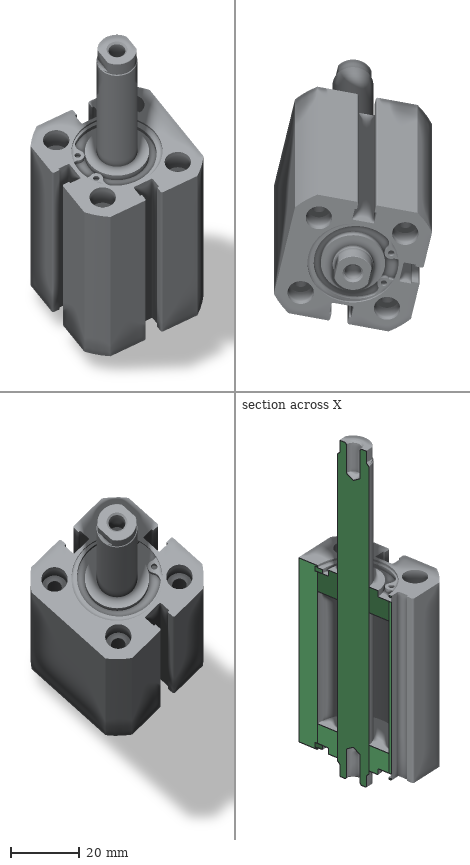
import cadquery as cq
import math


WIDTH = 41.0
HOUSING_LENGTH = 63.0
CORNER_RADIUS = 25.4
BORE_RADIUS = 13.3
MID_Z = -HOUSING_LENGTH / 2

SLOT_MOUTH_WIDTH = 5.3
SLOT_WIDTH = 6.5
SLOT_LIP = 2.4
SLOT_MOUTH_ROUND = 0.6
SLOT_CORNER_RADIUS = 0.3
SIDE_SLOT_FLOOR = 14.4
FRONT_SLOT_FLOOR = 14.5

HOLE_SPACING = 25.9
HOLE_DIAMETER = 4.3
COUNTERBORE_DIAMETER = 7.7
COUNTERBORE_DEPTH = 6.9

GROOVE_DEPTH = 0.7
RING_THICKNESS = 1.4
GROOVE_RADIUS = 14.3
RING_INNER_RADIUS = 12.3
RING_INNER_SHIFT = 0.8
RING_GAP = 7.1
LUG_X = 5.2
LUG_Y = -10.4
LUG_RADIUS = 2.0
LUG_BLEND_RADIUS = 2.8
LUG_HOLE_DIAMETER = 1.8

COVER_BOSS_RADIUS = 9.4
COVER_BOSS_HEIGHT = GROOVE_DEPTH + RING_THICKNESS
COVER_FLANGE_THICKNESS = 6.9

ROD_TOP = 46.0
ROD_LENGTH = 115
ROD_RADIUS = 6.0
TIP_RADIUS = 5.8
TIP_LENGTH = 4.7
TIP_CHAMFER = 0.1
FLAT_LENGTH = 4.0
ACROSS_FLATS = 10.0
THREAD_DIAMETER = 5.0
THREAD_CHAMFER_DIAMETER = 6.1
THREAD_DEPTH = 10.4
DRILL_POINT_ANGLE = 118


def mirrored_end(solid):
    """The same feature at the lower end of the housing."""
    return solid.mirror("XY", (0, 0, MID_Z))


def t_slot(floor, angle):
    """Slot along the whole housing, opening towards -Y before it is turned by `angle`."""
    face = WIDTH / 2
    mouth = SLOT_MOUTH_WIDTH / 2
    inside = (
        cq.Workplane("XY")
        .rect(SLOT_WIDTH, face - SLOT_LIP - floor)
        .extrude(-HOUSING_LENGTH)
        .translate((0, -(face - SLOT_LIP + floor) / 2, 0))
        .edges("|Z and >Y")
        .fillet(SLOT_CORNER_RADIUS)
    )
    mouth_cut = (
        cq.Workplane("XY")
        .moveTo(-mouth, -floor - SLOT_LIP)
        .lineTo(-mouth, -face + SLOT_MOUTH_ROUND)
        .radiusArc((-mouth - SLOT_MOUTH_ROUND, -face), SLOT_MOUTH_ROUND)
        .lineTo(mouth + SLOT_MOUTH_ROUND, -face)
        .radiusArc((mouth, -face + SLOT_MOUTH_ROUND), SLOT_MOUTH_ROUND)
        .lineTo(mouth, -floor - SLOT_LIP)
        .close()
        .extrude(-HOUSING_LENGTH)
    )
    return inside.union(mouth_cut).rotate((0, 0, 0), (0, 0, 1), angle)


def ring_groove():
    return (
        cq.Workplane("XY")
        .workplane(offset=-GROOVE_DEPTH)
        .circle(GROOVE_RADIUS)
        .extrude(-RING_THICKNESS)
    )


def mounting_holes():
    holes = (
        cq.Workplane("XY")
        .rect(HOLE_SPACING, HOLE_SPACING, forConstruction=True)
        .vertices()
        .circle(HOLE_DIAMETER / 2)
        .extrude(-HOUSING_LENGTH)
    )
    counterbores = (
        cq.Workplane("XY")
        .rect(HOLE_SPACING, HOLE_SPACING, forConstruction=True)
        .vertices()
        .circle(COUNTERBORE_DIAMETER / 2)
        .extrude(-COUNTERBORE_DEPTH)
    )
    return holes.union(counterbores).union(mirrored_end(counterbores))


def make_housing():
    block = cq.Workplane("XY").rect(WIDTH, WIDTH).extrude(-HOUSING_LENGTH)
    turned = cq.Workplane("XY").circle(CORNER_RADIUS).extrude(-HOUSING_LENGTH)
    bore = cq.Workplane("XY").circle(BORE_RADIUS).extrude(-HOUSING_LENGTH)
    housing = block.intersect(turned).cut(bore).cut(mounting_holes())
    housing = housing.cut(t_slot(FRONT_SLOT_FLOOR, 0))
    for angle in (-90, 90):
        housing = housing.cut(t_slot(SIDE_SLOT_FLOOR, angle))
    groove = ring_groove()
    return housing.cut(groove).cut(mirrored_end(groove))


def point_towards(start, end, distance):
    """Point at `distance` from `start` on the line through `end`."""
    span = math.dist(start, end)
    return tuple(s + (e - s) * distance / span for s, e in zip(start, end))


def ring_blend_centre():
    """Centre of the arc that touches the ring's inner edge and the lug at +X."""
    to_inner = RING_INNER_RADIUS - LUG_BLEND_RADIUS
    to_lug = LUG_RADIUS + LUG_BLEND_RADIUS
    lug_y = LUG_Y + RING_INNER_SHIFT
    span = math.hypot(LUG_X, lug_y)
    along = (to_inner**2 - to_lug**2 + span**2) / (2 * span)
    across = math.sqrt(to_inner**2 - along**2)
    x = (LUG_X * along - lug_y * across) / span
    y = (lug_y * along + LUG_X * across) / span
    return x, y - RING_INNER_SHIFT


def make_ring():
    """Retaining ring with its gap towards -Y and a pierced lug on each side of the gap."""
    inner_centre = (0, -RING_INNER_SHIFT)
    lug = (LUG_X, LUG_Y)
    blend = ring_blend_centre()
    half_gap = RING_GAP / 2

    outer_end = (half_gap, -math.sqrt(GROOVE_RADIUS**2 - half_gap**2))
    lug_end = (half_gap, LUG_Y - math.sqrt(LUG_RADIUS**2 - (LUG_X - half_gap) ** 2))
    lug_middle = point_towards(lug, (0, 0), LUG_RADIUS)
    lug_touch = point_towards(lug, blend, LUG_RADIUS)
    inner_touch = point_towards(inner_centre, blend, RING_INNER_RADIUS)
    blend_aim = tuple((a + b) / 2 for a, b in zip(lug_touch, inner_touch))
    blend_middle = point_towards(blend, blend_aim, LUG_BLEND_RADIUS)
    inner_top = (0, RING_INNER_RADIUS - RING_INNER_SHIFT)

    def other_side(point):
        return -point[0], point[1]

    ring = (
        cq.Workplane("XY")
        .workplane(offset=-GROOVE_DEPTH)
        .moveTo(*outer_end)
        .lineTo(*lug_end)
        .threePointArc(lug_middle, lug_touch)
        .threePointArc(blend_middle, inner_touch)
        .threePointArc(inner_top, other_side(inner_touch))
        .threePointArc(other_side(blend_middle), other_side(lug_touch))
        .threePointArc(other_side(lug_middle), other_side(lug_end))
        .lineTo(*other_side(outer_end))
        .threePointArc((0, GROOVE_RADIUS), outer_end)
        .close()
        .extrude(-RING_THICKNESS)
    )
    lug_holes = (
        cq.Workplane("XY")
        .pushPoints([lug, other_side(lug)])
        .circle(LUG_HOLE_DIAMETER / 2)
        .extrude(-GROOVE_DEPTH - RING_THICKNESS)
    )
    return ring.cut(lug_holes)


def make_cover():
    """Cover in the bore: a flange under the ring and a boss flush with the housing end."""
    boss = cq.Workplane("XY").circle(COVER_BOSS_RADIUS).extrude(-COVER_BOSS_HEIGHT)
    flange = (
        cq.Workplane("XY")
        .workplane(offset=-COVER_BOSS_HEIGHT)
        .circle(BORE_RADIUS)
        .extrude(-COVER_FLANGE_THICKNESS)
    )
    rod_hole = (
        cq.Workplane("XY")
        .circle(ROD_RADIUS)
        .extrude(-COVER_BOSS_HEIGHT - COVER_FLANGE_THICKNESS)
    )
    return boss.union(flange).cut(rod_hole)


def threaded_hole():
    """Chamfered hole with a drill point, from the upper rod end."""
    radius = THREAD_DIAMETER / 2
    mouth = THREAD_CHAMFER_DIAMETER / 2
    point_depth = radius / math.tan(math.radians(DRILL_POINT_ANGLE / 2))
    return (
        cq.Workplane("XZ")
        .moveTo(0, ROD_TOP)
        .lineTo(mouth, ROD_TOP)
        .lineTo(radius, ROD_TOP - (mouth - radius))
        .lineTo(radius, ROD_TOP - THREAD_DEPTH)
        .lineTo(0, ROD_TOP - THREAD_DEPTH - point_depth)
        .close()
        .revolve(360, (0, 0, 0), (0, 1, 0))
    )


def wrench_flat():
    """Cut for the -Y flat of the upper rod end, running out at 45 degrees."""
    flat = -ACROSS_FLATS / 2
    outside = -2 * ROD_RADIUS
    run_out = ROD_TOP - FLAT_LENGTH
    return (
        cq.Workplane("YZ")
        .moveTo(flat, ROD_TOP)
        .lineTo(flat, run_out)
        .lineTo(outside, run_out + outside - flat)
        .lineTo(outside, ROD_TOP)
        .close()
        .extrude(ROD_RADIUS, both=True)
    )


def make_rod():
    rod_mid = ROD_TOP - ROD_LENGTH / 2
    shoulder = ROD_TOP - TIP_LENGTH
    upper_half = (
        cq.Workplane("XZ")
        .moveTo(0, ROD_TOP)
        .lineTo(TIP_RADIUS - TIP_CHAMFER, ROD_TOP)
        .lineTo(TIP_RADIUS, ROD_TOP - TIP_CHAMFER)
        .lineTo(TIP_RADIUS, shoulder)
        .lineTo(ROD_RADIUS, shoulder - (ROD_RADIUS - TIP_RADIUS))
        .lineTo(ROD_RADIUS, rod_mid)
        .lineTo(0, rod_mid)
        .close()
        .revolve(360, (0, 0, 0), (0, 1, 0))
    )
    flat = wrench_flat()
    upper_half = upper_half.cut(threaded_hole()).cut(flat).cut(flat.mirror("XZ"))
    return upper_half.union(upper_half.mirror("XY", (0, 0, rod_mid)))


housing = make_housing()
rod = make_rod()
bodies = [housing.val(), rod.val()]
for end_part in (make_cover(), make_ring()):
    bodies.append(end_part.val())
    bodies.append(mirrored_end(end_part).val())

result = cq.Compound.makeCompound(bodies)